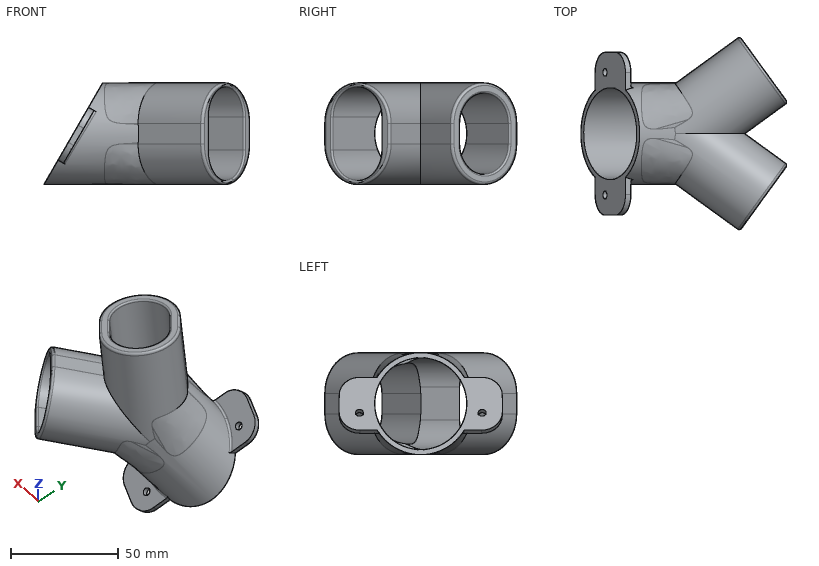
import cadquery as cq
import math

TUBE_RADIUS = 23.8
BORE_RADIUS = 21.4
BORE_END_X = 50.0
MOUTH_ANGLE = 60.0
MOUTH_LENGTH = 2 * TUBE_RADIUS / math.tan(math.radians(MOUTH_ANGLE))

FORK_X = 44.2
BRANCH_ANGLE = 36.0
BRANCH_LENGTH = 51.0
BRANCH_WIDTH = 38.1
BRANCH_HEIGHT = 2 * TUBE_RADIUS
BRANCH_START = 13.75
TRANSITION_INSET = 0.1
RIM_FILLET = 1.25
BORE_WIDTH = 28.3
LEFT_BORE_FLAT = 9.6
RIGHT_BORE_FLAT = 15.4
BORE_RIM_FILLET = 0.9

EAR_SPAN = 76.15
EAR_HEIGHT = 28.5
EAR_THICKNESS = 3.0
EAR_CORNER_RADIUS = 9.6
EAR_ROOT_FILLET = 1.0
PARALLEL_LIMIT = 0.99
HOLE_SPACING = 57.3
HOLE_DROP = 4.9
HOLE_DIAMETER = 3.7


def tube_plane(x):
    """Plane across the main tube, facing +X."""
    return cq.Plane(origin=(x, 0, 0), xDir=(0, 1, 0), normal=(1, 0, 0))


def branch_plane(side, distance):
    """Plane across a branch, at a distance from the fork; side is +1 or -1 in Y."""
    angle = math.radians(side * BRANCH_ANGLE)
    direction = cq.Vector(math.cos(angle), math.sin(angle), 0)
    origin = cq.Vector(FORK_X, 0, 0) + direction * distance
    across = (-math.sin(angle), math.cos(angle), 0)
    return cq.Plane(origin=origin, xDir=across, normal=direction)


def slot_prism(side, start, width, height):
    """Slot section, upright along Z, extruded from start to the branch end."""
    return (
        cq.Workplane(branch_plane(side, start))
        .slot2D(height, width, 90)
        .extrude(BRANCH_LENGTH - start)
    )


def round_section(radius, flat):
    """Circle across the tube, split where the slot's sides and arcs meet."""
    y = math.sqrt(radius**2 - (flat / 2) ** 2)
    z = flat / 2
    diagonal_y = radius * math.sin((math.pi / 2 - math.asin(z / radius)) / 2)
    diagonal_z = radius * math.cos((math.pi / 2 - math.asin(z / radius)) / 2)
    return (
        cq.Workplane(tube_plane(MOUTH_LENGTH))
        .moveTo(y, -z)
        .threePointArc((radius, 0), (y, z))
        .threePointArc((diagonal_y, diagonal_z), (0, radius))
        .threePointArc((-diagonal_y, diagonal_z), (-y, z))
        .threePointArc((-radius, 0), (-y, -z))
        .threePointArc((-diagonal_y, -diagonal_z), (0, -radius))
        .threePointArc((diagonal_y, -diagonal_z), (y, -z))
        .wire()
        .val()
    )


def slot_section(side, width, flat):
    """Slot across a branch where the branch becomes straight."""
    radius = width / 2
    z = flat / 2
    diagonal = radius * math.sqrt(0.5)
    return (
        cq.Workplane(branch_plane(side, BRANCH_START))
        .moveTo(radius, -z)
        .lineTo(radius, z)
        .threePointArc((diagonal, z + diagonal), (0, z + radius))
        .threePointArc((-diagonal, z + diagonal), (-radius, z))
        .lineTo(-radius, -z)
        .threePointArc((-diagonal, -z - diagonal), (0, -z - radius))
        .threePointArc((diagonal, -z - diagonal), (radius, -z))
        .wire()
        .val()
    )


def transition(side):
    """Blend from the tube to a branch, set in slightly so its top sinks into both."""
    width = BRANCH_WIDTH - 2 * TRANSITION_INSET
    flat = BRANCH_HEIGHT - BRANCH_WIDTH
    sections = [
        round_section(TUBE_RADIUS - TRANSITION_INSET, flat),
        slot_section(side, width, flat),
    ]
    return cq.Workplane(cq.Solid.makeLoft(sections, True))


def end_face(solid, side):
    """Flat open end of a branch."""
    end_center = branch_plane(side, BRANCH_LENGTH).origin.toTuple()
    return solid.faces("%PLANE").faces(cq.NearestToPointSelector(end_center))


def tube(radius, end):
    """Round bar along X that starts at the lowest point of the mouth."""
    return cq.Workplane(tube_plane(0)).circle(radius).extrude(end)


mouth_tilt = math.radians(MOUTH_ANGLE)
mouth_plane = cq.Plane(
    origin=(MOUTH_LENGTH / 2, 0, 0),
    xDir=(0, -1, 0),
    normal=(-math.sin(mouth_tilt), 0, math.cos(mouth_tilt)),
)

body = tube(TUBE_RADIUS, FORK_X)
for side in (1, -1):
    branch = slot_prism(side, 0, BRANCH_WIDTH, BRANCH_HEIGHT)
    body = body.union(end_face(branch, side).edges().fillet(RIM_FILLET))
for side in (1, -1):
    body = body.union(transition(side))

ears = (
    cq.Workplane(mouth_plane)
    .rect(EAR_SPAN, EAR_HEIGHT)
    .extrude(-EAR_THICKNESS)
    .edges(cq.ParallelDirSelector(mouth_plane.zDir))
    .fillet(EAR_CORNER_RADIUS)
)
body = body.union(ears)

trim_size = 4 * TUBE_RADIUS
body = body.cut(cq.Workplane(mouth_plane).rect(trim_size, trim_size).extrude(trim_size))

holes = (
    cq.Workplane(mouth_plane)
    .pushPoints([(side * HOLE_SPACING / 2, -HOLE_DROP) for side in (1, -1)])
    .circle(HOLE_DIAMETER / 2)
    .extrude(-EAR_THICKNESS)
)
body = body.cut(holes)

root_edges = []
for face in body.faces("%PLANE").vals():
    if face.normalAt().dot(mouth_plane.zDir) < -PARALLEL_LIMIT:
        root_edges += [edge for edge in face.Edges() if edge.geomType() == "ELLIPSE"]
body = body.newObject(root_edges).fillet(EAR_ROOT_FILLET)

body = body.cut(tube(BORE_RADIUS, BORE_END_X))
for side, flat in ((1, LEFT_BORE_FLAT), (-1, RIGHT_BORE_FLAT)):
    body = body.cut(slot_prism(side, 0, BORE_WIDTH, flat + BORE_WIDTH))
    bore_mouth = end_face(body, side).val().innerWires()[0]
    body = body.newObject(bore_mouth.Edges()).fillet(BORE_RIM_FILLET)

result = body